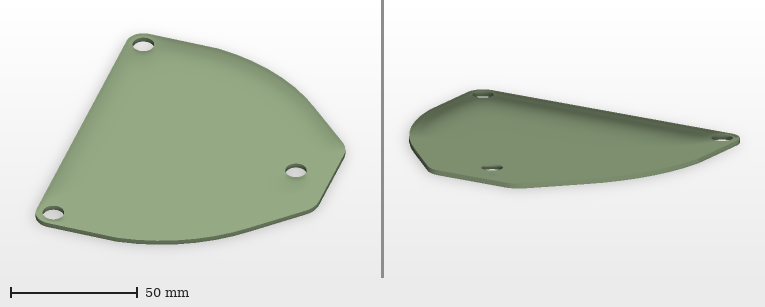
import cadquery as cq
import math

length = 104.2
width = 125.4
thickness = 2.0
half_width = width / 2

arc_radius = 79.0
arc_start = (35.6, half_width)
nose_half_width = 19.7
slant_run = 20.0
slant_rise = 19.6
arc_end = (length - slant_run, nose_half_width + slant_rise)

back_corner_radius = 7.0
nose_corner_radius = 10.0
arc_start_radius = 10.0

hole_diameter = 8.5
back_hole_x = back_corner_radius
back_hole_y = half_width - back_corner_radius
nose_hole_x = 89.4


def mirrored(point):
    """Reflect a point across the X axis."""
    return (point[0], -point[1])


def arc_middle(start, end, radius):
    """Middle point of the arc from start to end that bulges to the left of its chord."""
    dx = end[0] - start[0]
    dy = end[1] - start[1]
    chord = math.hypot(dx, dy)
    sagitta = radius - math.sqrt(radius**2 - (chord / 2) ** 2)
    middle_x = (start[0] + end[0]) / 2 - dy / chord * sagitta
    middle_y = (start[1] + end[1]) / 2 + dx / chord * sagitta
    return (middle_x, middle_y)


def make_blank():
    """Plate with sharp corners."""
    back_corner = (0, half_width)
    nose_corner = (length, nose_half_width)
    middle = arc_middle(arc_start, arc_end, arc_radius)
    return (
        cq.Workplane("XY")
        .moveTo(*back_corner)
        .lineTo(*arc_start)
        .threePointArc(middle, arc_end)
        .lineTo(*nose_corner)
        .lineTo(*mirrored(nose_corner))
        .lineTo(*mirrored(arc_end))
        .threePointArc(mirrored(middle), mirrored(arc_start))
        .lineTo(*mirrored(back_corner))
        .close()
        .extrude(thickness)
    )


def round_corners(plate, corner, radius):
    """Round the vertical edge at a corner and at its mirror image."""
    for x, y in (corner, mirrored(corner)):
        nearest = cq.selectors.NearestToPointSelector((x, y, thickness / 2))
        plate = plate.edges("|Z").edges(nearest).fillet(radius)
    return plate


def drill_holes(plate):
    """Three equal through holes: two in the back corners, one at the nose."""
    centres = [
        (back_hole_x, back_hole_y),
        (back_hole_x, -back_hole_y),
        (nose_hole_x, 0),
    ]
    holes = cq.Workplane("XY").pushPoints(centres).circle(hole_diameter / 2).extrude(thickness)
    return plate.cut(holes)


result = make_blank()
result = round_corners(result, (0, half_width), back_corner_radius)
result = round_corners(result, (length, nose_half_width), nose_corner_radius)
result = round_corners(result, arc_start, arc_start_radius)
result = drill_holes(result)